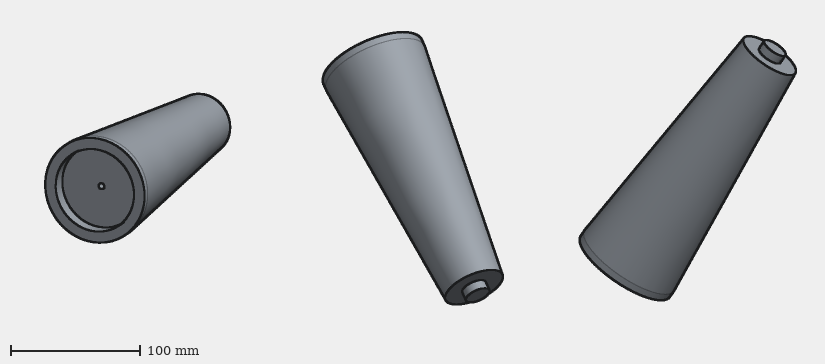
import cadquery as cq
import math

total_length = 217.2
base_diameter = 83.8
rim_length = 6.0
tip_diameter = 48.5
boss_diameter = 20.0
boss_length = 7.5
recess_diameter = 66.0
recess_depth = 13.0
hole_diameter = 4.8
hole_depth = 13.0
drill_point_angle = 118.0

tip_y = total_length - boss_length

outline = (
    cq.Workplane("XY")
    .lineTo(base_diameter / 2, 0)
    .lineTo(base_diameter / 2, rim_length)
    .lineTo(tip_diameter / 2, tip_y)
    .lineTo(boss_diameter / 2, tip_y)
    .lineTo(boss_diameter / 2, total_length)
    .lineTo(0, total_length)
    .close()
)
body = outline.revolve(360, (0, 0, 0), (0, 1, 0))


def cylinder_along_y(diameter, start_y, length):
    """Cylinder on the part axis, growing from start_y towards +Y."""
    center = cq.Vector(0, start_y, 0)
    return cq.Workplane(cq.Solid.makeCylinder(diameter / 2, length, center, cq.Vector(0, 1, 0)))


recess = cylinder_along_y(recess_diameter, 0, recess_depth)

hole_end_y = recess_depth + hole_depth
drill_point_length = hole_diameter / 2 / math.tan(math.radians(drill_point_angle / 2))
center_hole = cylinder_along_y(hole_diameter, recess_depth, hole_depth)
drill_point = cq.Workplane(
    cq.Solid.makeCone(
        hole_diameter / 2, 0, drill_point_length, cq.Vector(0, hole_end_y, 0), cq.Vector(0, 1, 0)
    )
)

result = body.cut(recess).cut(center_hole.union(drill_point))